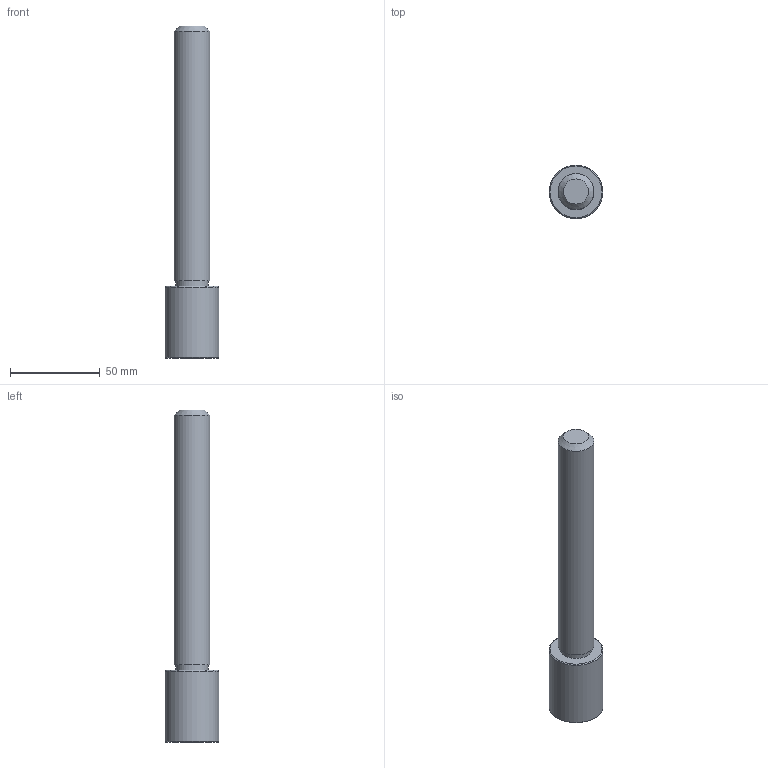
import cadquery as cq

total_length = 185.0
head_diameter = 30.0
head_length = 40.0
shank_diameter = 20.0

head_chamfer = 0.5
tip_chamfer = 3.0

groove_width = 3.0
groove_depth = 1.0

head_radius = head_diameter / 2
shank_radius = shank_diameter / 2
groove_radius = shank_radius - groove_depth
groove_top = head_length + groove_width


def make_head():
    """Cylindrical head standing on Z = 0, chamfered at both ends."""
    head = cq.Workplane("XY").circle(head_radius).extrude(head_length)
    return head.faces("<Z or >Z").chamfer(head_chamfer)


def make_shank():
    """Shank with a square relief groove at the head and a chamfered tip, revolved about Z."""
    return (
        cq.Workplane("XZ")
        .moveTo(0, head_length)
        .lineTo(groove_radius, head_length)
        .lineTo(groove_radius, groove_top)
        .lineTo(shank_radius, groove_top)
        .lineTo(shank_radius, total_length - tip_chamfer)
        .lineTo(shank_radius - tip_chamfer, total_length)
        .lineTo(0, total_length)
        .close()
        .revolve(360, (0, 0, 0), (0, 1, 0))
    )


result = make_head().union(make_shank())